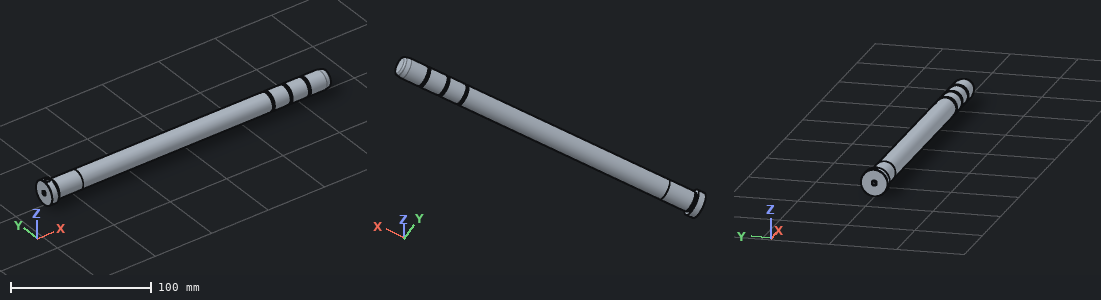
import cadquery as cq

length = 250.0
head_diameter = 20.0
head_length = 6.0
head_chamfer = 0.2
shank_diameter = 16.0

neck_diameter = 15.0
neck_length = 1.0
neck_taper_length = 1.0

fit_end = 29.0
guide_diameter = 15.95

groove_centers = (198.0, 213.8, 230.0)
groove_width = 2.0
groove_floor_width = 1.0
groove_depth = 0.5

lead_length = 5.0
tip_length = 1.5
tip_diameter = 14.5
tip_rounding = 1.48

hole_diameter = 3.0
hole_mouth_diameter = 4.0
hole_mouth_depth = 0.5
axial_hole_depth = 5.0
radial_hole_depth = 3.0

head_radius = head_diameter / 2
middle = -length / 2


def cylinder(start, size, diameter):
    """Solid disc along X, centred on the pin axis."""
    plane = cq.Workplane("YZ", origin=(middle + start, 0, 0))
    return plane.circle(diameter / 2).extrude(size)


def cone(start, size, start_diameter, end_diameter):
    """Tapered length of the pin along X."""
    return (
        cq.Workplane("YZ", origin=(middle + start, 0, 0))
        .circle(start_diameter / 2)
        .workplane(offset=size)
        .circle(end_diameter / 2)
        .loft()
    )


def make_blank():
    """Turned pin with head, undercut, shank and lead-in."""
    neck_end = head_length + neck_length
    shank_start = neck_end + neck_taper_length
    lead_start = length - lead_length

    head = cylinder(0, head_length, head_diameter)
    head = head.faces("<X").edges().chamfer(head_chamfer)
    neck = cylinder(head_length, neck_length, neck_diameter)
    taper = cone(neck_end, neck_taper_length, neck_diameter, shank_diameter)
    fit = cylinder(shank_start, fit_end - shank_start, shank_diameter)
    guide = cylinder(fit_end, lead_start - fit_end, guide_diameter)
    lead = cone(lead_start, lead_length - tip_length, guide_diameter, tip_diameter)
    tip = cylinder(length - tip_length, tip_length, tip_diameter)
    tip = tip.faces(">X").edges().fillet(tip_rounding)
    return head.union(neck).union(taper).union(fit).union(guide).union(lead).union(tip)


def groove_cutter(center):
    """Ring with a trapezoidal section, narrowing toward the pin axis."""
    surface_radius = guide_diameter / 2
    x = middle + center
    return (
        cq.Workplane("XY")
        .moveTo(x - groove_width / 2, surface_radius)
        .lineTo(x - groove_floor_width / 2, surface_radius - groove_depth)
        .lineTo(x + groove_floor_width / 2, surface_radius - groove_depth)
        .lineTo(x + groove_width / 2, surface_radius)
        .close()
        .revolve(360, (0, 0, 0), (1, 0, 0))
    )


result = make_blank()
for groove_center in groove_centers:
    result = result.cut(groove_cutter(groove_center))

axial_hole = cylinder(0, axial_hole_depth, hole_diameter)
axial_mouth = cone(0, hole_mouth_depth, hole_mouth_diameter, hole_diameter)

radial_plane = cq.Workplane("XY", origin=(middle + head_length / 2, 0, head_radius))
radial_hole = radial_plane.circle(hole_diameter / 2).extrude(-radial_hole_depth)
radial_mouth = (
    radial_plane.circle(hole_mouth_diameter / 2)
    .workplane(offset=-hole_mouth_depth)
    .circle(hole_diameter / 2)
    .loft()
)
for cutter in (axial_hole, axial_mouth, radial_hole, radial_mouth):
    result = result.cut(cutter)